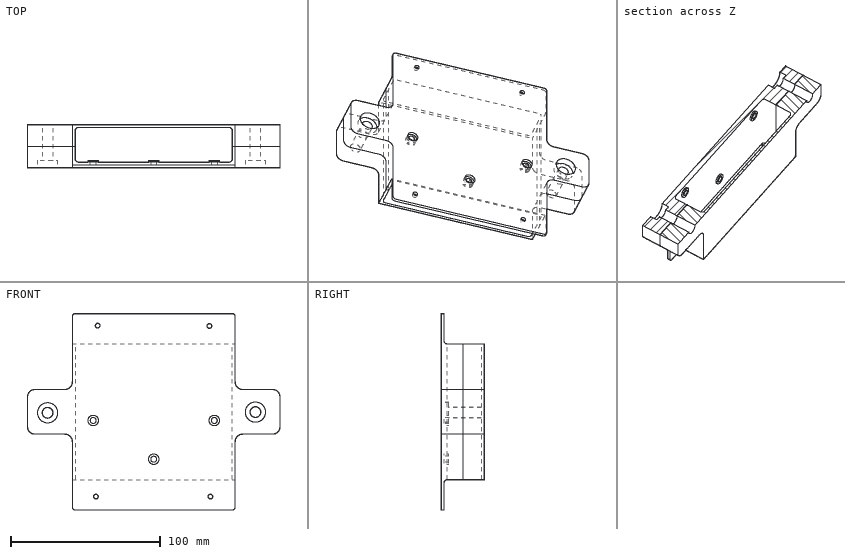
import cadquery as cq
import math

case_depth = 29.0
split_y = case_depth / 2
total_width = 169.0

box_width = 109.0
box_height = 91.0
plate_height = 131.5
plate_thickness = 2.0
plate_corner_radius = 2.0
plate_root_radius = 2.0

wall = 2.0
front_wall = plate_thickness + plate_root_radius
cavity_corner_radius = 2.0

ear_height = 30.0
ear_radius = 5.0

ear_hole_places = [(-71.0, -0.65), (68.0, -0.2)]
ear_hole_diameter = 7.0
ear_counterbore_diameter = 13.5
ear_counterbore_depth = 5.0

plate_hole_places = [(-37.5, 57.65), (37.2, 57.4), (-38.7, -56.7), (37.9, -56.7)]
plate_hole_diameter = 3.0

screw_places = [(-40.5, -5.8), (40.5, -5.8), (0.0, -31.7)]
screw_hole_diameter = 4.0
screw_counterbore_diameter = 7.0
screw_counterbore_depth = 2.0
boss_diameter = 7.0
boss_height = 1.0


def block(width, height, y_start, y_end):
    """Block centred on X and Z that runs from y_start to y_end."""
    return (
        cq.Workplane("XY")
        .box(width, y_end - y_start, height)
        .translate((0, (y_start + y_end) / 2, 0))
    )


def cylinders(places, diameter, y_start, y_end):
    """Cylinders along Y at the (x, z) places, from y_start to y_end."""
    return (
        cq.Workplane("XZ", origin=(0, y_start, 0))
        .pushPoints(places)
        .circle(diameter / 2)
        .extrude(y_start - y_end)
    )


def box_with_ears(y_start, y_end):
    """Slice of the box and its two ears, rounded at the ear tips and roots."""
    ears = block(total_width, ear_height, y_start, y_end).edges("|Y").fillet(ear_radius)
    body = block(box_width, box_height, y_start, y_end).union(ears)
    root_x = box_width / 2
    root_z = ear_height / 2
    pick_size = 1.0
    for x in (-root_x, root_x):
        for z in (-root_z, root_z):
            root_edge = cq.selectors.BoxSelector(
                (x - pick_size, y_start - pick_size, z - pick_size),
                (x + pick_size, y_end + pick_size, z + pick_size),
            )
            body = body.edges("|Y").edges(root_edge).fillet(ear_radius)
    return body


def cavity():
    """Rounded passage along Z through both halves."""
    return (
        block(box_width - 2 * wall, plate_height, front_wall, case_depth - wall)
        .edges("|Z")
        .fillet(cavity_corner_radius)
    )


def front_plate():
    """Plate taller than the box, with rounded corners."""
    return (
        block(box_width, plate_height, 0, plate_thickness)
        .edges("|Y")
        .fillet(plate_corner_radius)
    )


def plate_root(side):
    """Concave fillet between the plate and the top (side = 1) or bottom (side = -1) of the box."""
    box_z = side * box_height / 2
    tip_z = box_z + side * plate_root_radius
    mid_offset = plate_root_radius * (1 - math.cos(math.radians(45)))
    return (
        cq.Workplane("YZ", origin=(-box_width / 2, 0, 0))
        .moveTo(plate_thickness, box_z)
        .lineTo(plate_thickness, tip_z)
        .threePointArc(
            (plate_thickness + mid_offset, box_z + side * mid_offset),
            (front_wall, box_z),
        )
        .close()
        .extrude(box_width)
    )


def make_front_half():
    half = box_with_ears(0, split_y).union(front_plate())
    for side in (1, -1):
        half = half.union(plate_root(side))
    half = half.cut(cavity())

    boss_top = front_wall + boss_height
    half = half.union(cylinders(screw_places, boss_diameter, front_wall, boss_top))
    half = half.cut(cylinders(screw_places, screw_hole_diameter, 0, boss_top))
    half = half.cut(cylinders(screw_places, screw_counterbore_diameter, 0, screw_counterbore_depth))

    half = half.cut(cylinders(plate_hole_places, plate_hole_diameter, 0, plate_thickness))
    half = half.cut(cylinders(ear_hole_places, ear_hole_diameter, 0, split_y))
    return half.cut(cylinders(ear_hole_places, ear_counterbore_diameter, 0, ear_counterbore_depth))


def make_rear_half():
    half = box_with_ears(split_y, case_depth).cut(cavity())
    return half.cut(cylinders(ear_hole_places, ear_hole_diameter, split_y, case_depth))


front_half = make_front_half()
rear_half = make_rear_half()

result = cq.Compound.makeCompound([front_half.val(), rear_half.val()])